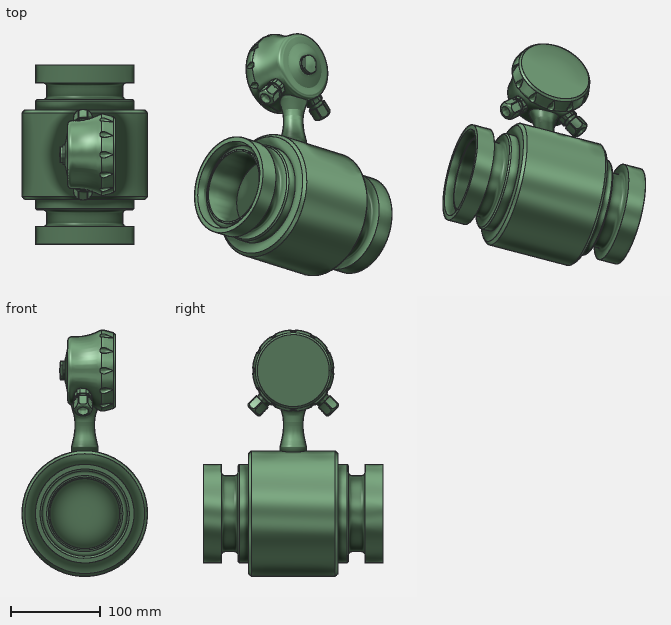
import cadquery as cq
import math

tube_half_length = 100.0
body_radius = 70.0
body_half_length = tube_half_length / 2
body_chamfer = 3.3
collar_radius = 55.0
collar_end = 61.5
collar_chamfer = 1.6
groove_radius = 85.0 / 2
groove_fillet = 4.0
flange_start = 80.0

mouth_radius = 49.7
seat_radius = 95.0 / 2
mouth_depth = 7.7
seat_depth = 11.5
lip_radius = 85.0 / 2
lip_depth = 8.0
bore_radius = 81.3 / 2
bore_depth = 50.0
bore_bottom_radius = 39.0

neck_base_radius = 30.0 / 2
neck_base_top = 74.0
neck_cone_radius = 14.3
neck_cone_top = 76.5
neck_shoulder_radius = 13.2
neck_shoulder_top = 81.3
neck_radius = 11.0
neck_waist_bottom = 97.5
neck_waist_top = 102.0
neck_socket_radius = 11.8
neck_socket_top = 109.0
neck_flare_radius = 15.5
neck_flare_top = 121.5
neck_cap_radius = 17.5
neck_cap_top = 126.5

head_height = 159.5
dial_centre_radius = 23.5 / 2
dial_centre_x = -22.0
dial_cone_radius = 30.0 / 2
dial_cone_x = -21.2
dial_rim_radius = 25.5
dial_rim_x = -19.0
rim_flat_radius = 33.2
rim_radius = 38.0
rim_band = 0.8
rim_fillet = rim_radius - rim_flat_radius
shell_waist_x = 1.0
shell_waist_radius = 39.0
lid_start_x = 15.5
lid_start_radius = 88.0 / 2
lid_crown_x = 18.7
lid_radius = 45.3
lid_taper_x = 21.2
lid_taper_end_x = 32.0
lid_taper_end_radius = 42.3
lid_end_x = 34.3
lid_end_radius = 40.0

plug_radius = 21.0 / 2
plug_base_radius = 21.5 / 2
plug_step_x = -24.2
plug_front_x = -27.2
plug_tip_x = -28.0
plug_flats = 17.0

grip_count = 12
grip_radius = 3.5
grip_start_x = 17.0
grip_slope = (lid_radius - lid_taper_end_radius) / (lid_taper_end_x - lid_taper_x)

gland_x = -2.0
gland_angle = 45.0
gland_root = 27.5
gland_base_end = 44.5
gland_base_diameter = 19.8
gland_base_flats = 18.7
gland_collar_diameter = 16.0
nut_start = 49.0
nut_end = 63.7
nut_diameter = 21.0
nut_flats = 18.7
gland_hole_diameter = 12.0
gland_hole_depth = 13.7
nut_round = (nut_diameter - gland_hole_diameter) / 2


def make_body():
    """Thick middle of the flow tube, chamfered at both ends."""
    body = cq.Workplane("XY").cylinder(2 * body_half_length, body_radius, direct=cq.Vector(0, 1, 0))
    return body.edges("%CIRCLE").chamfer(body_chamfer)


def make_tube_end():
    """Collar, groove and flange on the +Y side, bored from the end face and rooted in the body."""
    outside = (
        cq.Workplane("XY")
        .lineTo(collar_radius, 0)
        .lineTo(collar_radius, collar_end - collar_chamfer)
        .lineTo(collar_radius - collar_chamfer, collar_end)
        .lineTo(groove_radius + groove_fillet, collar_end)
        .radiusArc((groove_radius, collar_end + groove_fillet), groove_fillet)
        .lineTo(groove_radius, flange_start - groove_fillet)
        .radiusArc((groove_radius + groove_fillet, flange_start), groove_fillet)
        .lineTo(collar_radius, flange_start)
        .lineTo(collar_radius, tube_half_length)
        .lineTo(0, tube_half_length)
        .close()
        .revolve(360, (0, 0, 0), (0, 1, 0))
    )
    bore = (
        cq.Workplane("XY")
        .moveTo(0, tube_half_length)
        .lineTo(mouth_radius, tube_half_length)
        .lineTo(seat_radius, tube_half_length - mouth_depth)
        .lineTo(seat_radius, tube_half_length - seat_depth)
        .lineTo(lip_radius, tube_half_length - seat_depth)
        .lineTo(lip_radius, tube_half_length - lip_depth)
        .lineTo(bore_radius, tube_half_length - lip_depth)
        .lineTo(bore_bottom_radius, tube_half_length - bore_depth)
        .lineTo(0, tube_half_length - bore_depth)
        .close()
        .revolve(360, (0, 0, 0), (0, 1, 0))
    )
    return outside.cut(bore)


def make_neck():
    """Turned neck that flares at both ends, rooted inside the tube body."""
    waist_drop = neck_waist_bottom - neck_shoulder_top
    waist_spread = neck_shoulder_radius - neck_radius
    waist_arc = (waist_drop**2 + waist_spread**2) / (2 * waist_spread)
    return (
        cq.Workplane("XZ")
        .moveTo(0, body_half_length)
        .lineTo(neck_base_radius, body_half_length)
        .lineTo(neck_base_radius, neck_base_top)
        .lineTo(neck_cone_radius, neck_cone_top)
        .lineTo(neck_shoulder_radius, neck_shoulder_top)
        .radiusArc((neck_radius, neck_waist_bottom), waist_arc)
        .lineTo(neck_radius, neck_waist_top)
        .lineTo(neck_socket_radius, neck_socket_top)
        .lineTo(neck_flare_radius, neck_flare_top)
        .lineTo(neck_cap_radius, neck_cap_top)
        .lineTo(0, neck_cap_top)
        .close()
        .revolve(360, (0, 0, 0), (0, 1, 0))
    )


def make_head():
    """Shell and lid of the head as one turned shape."""
    return (
        cq.Workplane("XY")
        .moveTo(dial_centre_x, 0)
        .lineTo(dial_centre_x, dial_centre_radius)
        .lineTo(dial_cone_x, dial_cone_radius)
        .lineTo(dial_rim_x, dial_rim_radius)
        .lineTo(dial_rim_x, rim_flat_radius)
        .radiusArc((dial_rim_x + rim_fillet, rim_radius), rim_fillet)
        .lineTo(dial_rim_x + rim_fillet + rim_band, rim_radius)
        .threePointArc((shell_waist_x, shell_waist_radius), (lid_start_x, lid_start_radius))
        .lineTo(lid_crown_x, lid_radius)
        .lineTo(lid_taper_x, lid_radius)
        .lineTo(lid_taper_end_x, lid_taper_end_radius)
        .lineTo(lid_end_x, lid_end_radius)
        .lineTo(lid_end_x, 0)
        .close()
        .revolve(360, (0, 0, 0), (1, 0, 0))
        .translate((0, 0, head_height))
    )


def make_plug():
    """Plug with two wrench flats and a slightly pointed face."""
    face = (
        cq.Workplane("XY")
        .moveTo(plug_step_x, 0)
        .lineTo(plug_step_x, plug_radius)
        .lineTo(plug_front_x, plug_radius)
        .lineTo(plug_tip_x, 0)
        .close()
        .revolve(360, (0, 0, 0), (1, 0, 0))
    )
    between_flats = cq.Workplane("XY").box(2 * abs(plug_tip_x), plug_flats, 2 * plug_radius)
    flatted = face.intersect(between_flats)
    base = (
        cq.Workplane("YZ", origin=(plug_step_x, 0, 0))
        .circle(plug_base_radius)
        .extrude(dial_rim_x - plug_step_x)
    )
    return base.union(flatted).translate((0, 0, head_height))


def make_grip():
    """Cutter for one finger groove, placed as if the head axis were the X axis."""
    tilt = math.atan(grip_slope)
    length = (lid_taper_end_x - grip_start_x) / math.cos(tilt)
    return (
        cq.Workplane("XY")
        .moveTo(-length, 0)
        .spline(
            [(grip_radius - length, grip_radius), (0, 0)],
            tangents=[(0, 1), (length - grip_radius, -grip_radius)],
            includeCurrent=True,
        )
        .close()
        .revolve(360, (0, 0, 0), (1, 0, 0))
        .rotate((0, 0, 0), (0, 1, 0), math.degrees(tilt))
        .translate((lid_taper_end_x, 0, lid_taper_end_radius))
    )


def hex_bar(flats, diameter, start, end):
    """Hexagonal bar along Z whose corners are rounded off by a cylinder; one pair of flats faces Y."""
    corners = flats / math.cos(math.pi / 6)
    plane = cq.Workplane("XY", origin=(0, 0, start))
    hexagon = plane.polygon(6, corners).extrude(end - start)
    rounding = plane.circle(diameter / 2).extrude(end - start)
    return hexagon.intersect(rounding)


def make_gland():
    """One gland along +Z, with its origin on the head axis."""
    base = hex_bar(gland_base_flats, gland_base_diameter, gland_root, gland_base_end)
    collar = (
        cq.Workplane("XY", origin=(0, 0, gland_root))
        .circle(gland_collar_diameter / 2)
        .extrude(nut_start - gland_root)
    )
    nut_envelope = (
        cq.Workplane("XZ")
        .moveTo(0, nut_start)
        .lineTo(nut_diameter / 2, nut_start)
        .lineTo(nut_diameter / 2, nut_end - nut_round)
        .radiusArc((gland_hole_diameter / 2, nut_end), -nut_round)
        .lineTo(0, nut_end)
        .close()
        .revolve(360, (0, 0, 0), (0, 1, 0))
    )
    nut = hex_bar(nut_flats, nut_diameter, nut_start, nut_end).intersect(nut_envelope)
    hole = (
        cq.Workplane("XY", origin=(0, 0, nut_end - gland_hole_depth))
        .circle(gland_hole_diameter / 2)
        .extrude(gland_hole_depth)
    )
    return base.union(collar).union(nut).cut(hole)


tube_end = make_tube_end()
result = make_body().union(tube_end).union(tube_end.mirror("XZ"))
result = result.union(make_neck())

head = make_head()
grip = make_grip()
for index in range(grip_count):
    turned_grip = grip.rotate((0, 0, 0), (1, 0, 0), index * 360 / grip_count)
    head = head.cut(turned_grip.translate((0, 0, head_height)))
result = result.union(head).union(make_plug())

gland = make_gland()
for tilt in (180 - gland_angle, 180 + gland_angle):
    tilted_gland = gland.rotate((0, 0, 0), (1, 0, 0), tilt)
    result = result.union(tilted_gland.translate((gland_x, 0, head_height)))